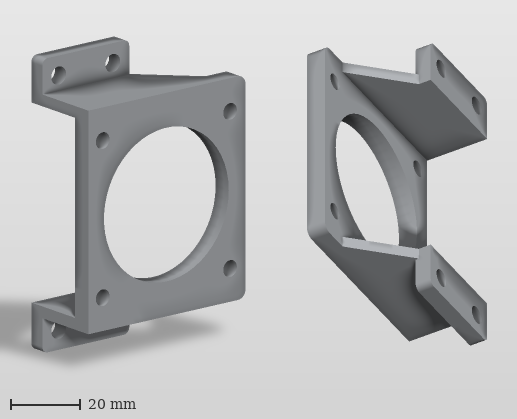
import cadquery as cq

depth = 26.0
width = 58.0
height = 88.0

plate_thickness = 6.0
plate_height = 66.9
plate_corner_radius = 2.8
plate_hole_diameter = 5.0
plate_hole_pitch = 47.0
opening_diameter = 46.0
opening_y = 28.8

wall_thickness = 3.5
wall_slope_start_x = 4.0
wall_slope_end_y = 48.0

flange_thickness = 5.0
flange_width = 32.0
flange_corner_radius = 1.9
flange_hole_diameter = 5.5
flange_hole_pitch = 20.0
flange_hole_first_y = 6.0
flange_hole_edge_distance = 6.0

plate_face_x = depth - plate_thickness
wall_inner_z = plate_height / 2 - wall_thickness
flange_height = height / 2 - wall_inner_z


def make_plate():
    """Plate with rounded far corners, a large opening and four screw holes."""
    plate = (
        cq.Workplane("XY")
        .box(plate_thickness, width, plate_height, centered=(False, False, True))
        .translate((plate_face_x, 0, 0))
        .edges("|X and >Y")
        .fillet(plate_corner_radius)
    )
    opening = (
        cq.Workplane("YZ", origin=(plate_face_x, opening_y, 0))
        .circle(opening_diameter / 2)
        .extrude(plate_thickness)
    )
    screw_holes = (
        cq.Workplane("YZ", origin=(plate_face_x, opening_y, 0))
        .rect(plate_hole_pitch, plate_hole_pitch, forConstruction=True)
        .vertices()
        .circle(plate_hole_diameter / 2)
        .extrude(plate_thickness)
    )
    return plate.cut(opening).cut(screw_holes)


def make_upper_wall():
    """Wall with a sloped edge that tapers from the flange to the plate."""
    return (
        cq.Workplane("XY", origin=(0, 0, wall_inner_z))
        .moveTo(0, 0)
        .lineTo(plate_face_x, 0)
        .lineTo(plate_face_x, wall_slope_end_y)
        .lineTo(wall_slope_start_x, flange_width)
        .lineTo(0, flange_width)
        .close()
        .extrude(wall_thickness)
    )


def make_upper_flange():
    """Flange with rounded outer corners and two screw holes."""
    flange = (
        cq.Workplane("XY", origin=(0, 0, wall_inner_z))
        .box(flange_thickness, flange_width, flange_height, centered=False)
        .edges("|X and >Z")
        .fillet(flange_corner_radius)
    )
    hole_z = height / 2 - flange_hole_edge_distance
    holes = (
        cq.Workplane("YZ")
        .pushPoints([(flange_hole_first_y + i * flange_hole_pitch, hole_z) for i in range(2)])
        .circle(flange_hole_diameter / 2)
        .extrude(flange_thickness)
    )
    return flange.cut(holes)


upper_bracket = make_upper_wall().union(make_upper_flange())
lower_bracket = upper_bracket.mirror("XY")
result = make_plate().union(upper_bracket).union(lower_bracket)